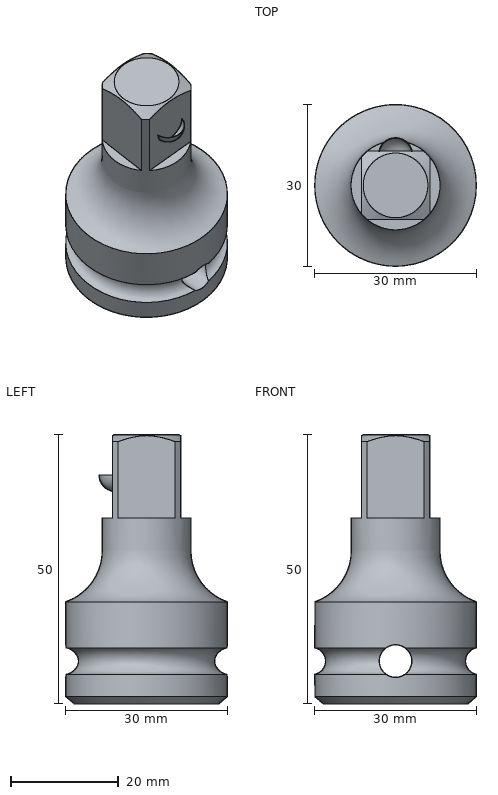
import cadquery as cq
import math

total_height = 50.0
body_radius = 15.0
base_chamfer_height = 1.4
base_chamfer_width = 1.65
shoulder_height = 19.0
neck_radius = 8.25
neck_top = 34.55
flare_radius = 10.0

groove_height = 8.0
groove_width = 4.9
groove_depth = 2.0
cross_hole_diameter = 6.0

drive_size = 12.7
drive_tip_radius = 6.0
drive_chamfer_height = 1.3

cup_radius = 3.15
cup_wall = 0.1
cup_center_y = 5.7
cup_rim_height = 42.55

flare_center_radius = neck_radius + flare_radius
flare_end_angle = math.acos((flare_center_radius - body_radius) / flare_radius)
flare_start_height = shoulder_height + flare_radius * math.sin(flare_end_angle)
flare_mid_radius = flare_center_radius - flare_radius * math.cos(flare_end_angle / 2)
flare_mid_height = flare_start_height - flare_radius * math.sin(flare_end_angle / 2)


def turned_blank():
    """Revolved outline of the body, before the drive flats are cut."""
    groove_bottom = groove_height - groove_width / 2
    groove_top = groove_height + groove_width / 2
    outline = (
        cq.Workplane("XZ")
        .lineTo(body_radius - base_chamfer_width, 0)
        .lineTo(body_radius, base_chamfer_height)
        .lineTo(body_radius, groove_bottom)
        .threePointArc((body_radius - groove_depth, groove_height), (body_radius, groove_top))
        .lineTo(body_radius, shoulder_height)
        .threePointArc((flare_mid_radius, flare_mid_height), (neck_radius, flare_start_height))
        .lineTo(neck_radius, total_height - drive_chamfer_height)
        .lineTo(drive_tip_radius, total_height)
        .lineTo(0, total_height)
        .close()
    )
    return outline.revolve(360, (0, 0, 0), (0, 1, 0))


def drive_flats():
    """Material around the square drive that is removed above the neck."""
    return (
        cq.Workplane("XY", origin=(0, 0, neck_top))
        .circle(body_radius)
        .rect(drive_size, drive_size)
        .extrude(total_height - neck_top)
    )


def cross_hole():
    """Round hole through the body along Y."""
    return (
        cq.Workplane("XZ", origin=(0, 0, groove_height))
        .circle(cross_hole_diameter / 2)
        .extrude(body_radius, both=True)
    )


def lower_half_ball(radius):
    """Lower half of a ball, with its flat side at the cup rim."""
    return (
        cq.Workplane("XZ", origin=(0, cup_center_y, cup_rim_height))
        .lineTo(radius, 0)
        .radiusArc((0, -radius), radius)
        .close()
        .revolve(360, (0, 0, 0), (0, 1, 0))
    )


def make_detent_cup():
    """Thin hemispherical cup, open at the top."""
    return lower_half_ball(cup_radius).cut(lower_half_ball(cup_radius - cup_wall))


def make_adapter(detent_cup):
    """Impact adapter body with a recess that matches the cup."""
    return turned_blank().cut(drive_flats()).cut(cross_hole()).cut(detent_cup)


detent_cup = make_detent_cup()
adapter = make_adapter(detent_cup)

result = cq.Compound.makeCompound([adapter.val(), detent_cup.val()])